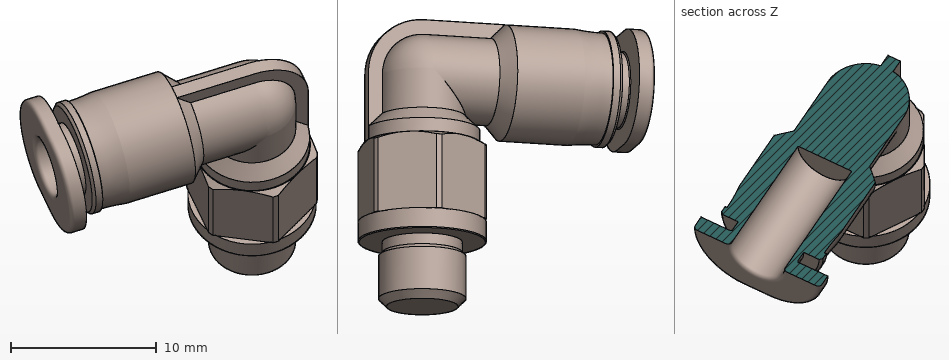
import cadquery as cq
import math


elbow_radius = 3.0
collar_radius = 3.95
shoulder_height = collar_radius - elbow_radius
collar_height = 0.95
hex_top_z = -4.67
collar_top_z = hex_top_z + collar_height

hex_sides = 6
hex_across_flats = 8.0
hex_across_corners = hex_across_flats / math.cos(math.pi / hex_sides)
hex_corner_radius = 4.51
hex_chamfer_drop = 0.3
hex_height = 5.5
hex_bottom_z = hex_top_z - hex_height

flange_radius = 4.4
flange_height = 1.4
flange_edge_chamfer = 0.07
relief_radius = 2.75
relief_length = 0.75
thread_radius = 3.0
thread_lead_in = 0.25
thread_end_chamfer = 0.55
stem_end_z = -16.1
flange_bottom_z = hex_bottom_z - flange_height
relief_bottom_z = flange_bottom_z - relief_length

body_radius = 4.0
shoulder_start = 4.7
shoulder_end = shoulder_start + body_radius - elbow_radius
taper_start = 10.5
taper_end = 12.5
taper_end_radius = 3.85
lip_end = 13.2
lip_chamfer = 0.2

button_neck_radius = 2.6
neck_root_chamfer = 0.08
button_start = 14.07
button_end = 15.2
button_width = 10.0
button_height = 2 * body_radius
button_edge_radius = 0.3
bore_radius = 2.1
bore_edge_radius = 0.3
bore_bottom = shoulder_end

rib_thickness = 1.0
rib_back = collar_radius
rib_top = body_radius


def revolve_about_z(radius_height_points):
    """Solid of revolution about Z from (radius, z) points, closed along the axis."""
    first_z = radius_height_points[0][1]
    last_z = radius_height_points[-1][1]
    outline = [(0, first_z), *radius_height_points, (0, last_z)]
    profile = cq.Workplane("XZ").polyline(outline).close()
    return profile.revolve(360, (0, 0), (0, 1))


def make_stem():
    """Round portions of the vertical leg, from the elbow down to the thread end."""
    return revolve_about_z([
        (elbow_radius, 0),
        (elbow_radius, collar_top_z + shoulder_height),
        (collar_radius, collar_top_z),
        (collar_radius, hex_bottom_z),
        (flange_radius, hex_bottom_z),
        (flange_radius, flange_bottom_z + flange_edge_chamfer),
        (flange_radius - flange_edge_chamfer, flange_bottom_z),
        (relief_radius, flange_bottom_z),
        (relief_radius, relief_bottom_z),
        (thread_radius, relief_bottom_z - thread_lead_in),
        (thread_radius, stem_end_z + thread_end_chamfer),
        (thread_radius - thread_end_chamfer, stem_end_z),
    ])


def make_hexagon():
    """Hexagon with two flats facing +Y and -Y, turned-down corners and a chamfered top."""
    prism = (
        cq.Workplane("XY", origin=(0, 0, hex_bottom_z))
        .polygon(hex_sides, hex_across_corners)
        .extrude(hex_height)
    )
    turned_blank = revolve_about_z([
        (hex_across_flats / 2, hex_top_z),
        (hex_corner_radius, hex_top_z - hex_chamfer_drop),
        (hex_corner_radius, hex_bottom_z),
    ])
    return prism.intersect(turned_blank)


def make_tube():
    """Horizontal leg up to the release button, turned about the -Y axis."""
    taper_length = taper_end - taper_start
    taper_drop = body_radius - taper_end_radius
    taper_arc_radius = (taper_length**2 + taper_drop**2) / (2 * taper_drop)
    profile = (
        cq.Workplane("XY")
        .lineTo(elbow_radius, 0)
        .lineTo(elbow_radius, -shoulder_start)
        .lineTo(body_radius, -shoulder_end)
        .lineTo(body_radius, -taper_start)
        .radiusArc((taper_end_radius, -taper_end), -taper_arc_radius)
        .lineTo(body_radius, -taper_end)
        .lineTo(body_radius, -lip_end + lip_chamfer)
        .lineTo(body_radius - lip_chamfer, -lip_end)
        .lineTo(button_neck_radius, -lip_end)
        .lineTo(button_neck_radius, -button_start + neck_root_chamfer)
        .lineTo(button_neck_radius + neck_root_chamfer, -button_start)
        .lineTo(0, -button_start)
        .close()
    )
    return profile.revolve(360, (0, 0), (0, 1))


def make_button():
    """Release button: an oblong plate with a rounded outer edge."""
    return (
        cq.Workplane("XZ", origin=(0, -button_start, 0))
        .slot2D(button_width, button_height)
        .extrude(button_end - button_start)
        .faces("<Y")
        .edges()
        .fillet(button_edge_radius)
    )


def make_rib():
    """Thin rib that follows the outer bend from the hexagon to the tube shoulder."""
    bend_centre_z = rib_top - rib_back
    return (
        cq.Workplane("YZ", origin=(-rib_thickness / 2, 0, 0))
        .moveTo(0, hex_top_z)
        .lineTo(rib_back, hex_top_z)
        .lineTo(rib_back, bend_centre_z)
        .radiusArc((0, rib_top), -rib_back)
        .lineTo(-shoulder_end, rib_top)
        .lineTo(-shoulder_end, 0)
        .lineTo(0, 0)
        .close()
        .extrude(rib_thickness)
    )


def cut_bore(part):
    """Blind tube bore in the button face, with a rounded mouth."""
    bore = (
        cq.Workplane("XZ", origin=(0, -bore_bottom, 0))
        .circle(bore_radius)
        .extrude(button_end - bore_bottom)
    )
    bored = part.cut(bore)
    mouth_edge = bored.faces("<Y").edges(cq.selectors.RadiusNthSelector(0))
    return mouth_edge.fillet(bore_edge_radius)


elbow_ball = cq.Workplane("XY").sphere(elbow_radius)
solid_body = make_stem().union(make_hexagon()).union(make_tube()).union(elbow_ball)
solid_body = solid_body.union(make_rib()).union(make_button())
result = cut_bore(solid_body)